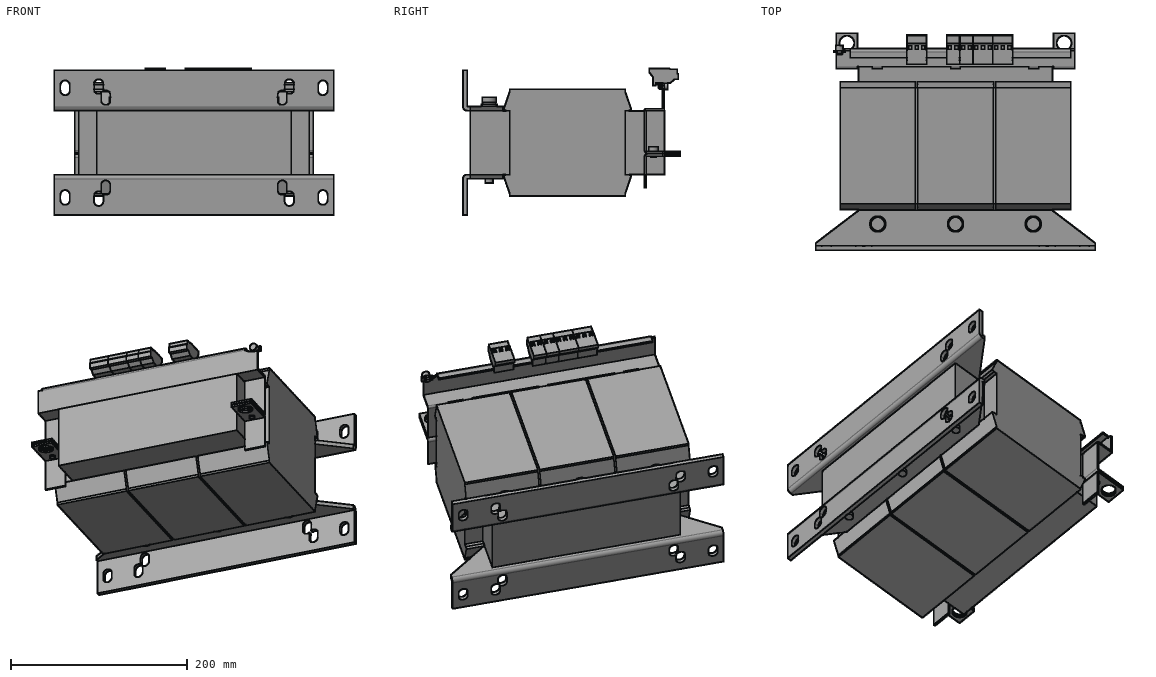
import cadquery as cq


CORE_HALF_X = 109.5
CORE_HALF_Z = 36.0
CORE_FRONT = 8.2
CORE_BACK = 228.0
YOKE_DEPTH = 44.5
CORE_MID_Y = (CORE_FRONT + CORE_BACK) / 2

COIL_PITCH = 88.5
COIL_GAP = 2.2
COILS_HALF_X = 130.5
COIL_HALF_Z = 60.5
COIL_HALF_Y = CORE_MID_Y - CORE_FRONT - YOKE_DEPTH
COIL_LEDGE_Z = 57.5
COIL_OVERHANG = 7.0
COIL_OVERHANG_Z = 37.3
COIL_RETURN = 3.0

FOOT_LENGTH = 316.0
FOOT_HALF_Z = 82.0
FOOT_THICKNESS = 5.0
FOOT_BEND_RADIUS = 4.7
FOOT_DEPTH = 45.5
FOOT_END_DEPTH = 8.2
FOOT_NARROW_HALF_X = 109.0
FOOT_TOP_Z = CORE_HALF_Z + FOOT_THICKNESS
SLOT_WIDTH = 10.5
SLOT_LENGTH = 16.5
FOOT_SLOTS = ((145.7, 62.0), (107.8, 63.2), (100.0, 51.0))

BOLT_PITCH = 88.0
BOLT_Y = 29.7
BOLT_WASHER_DIAMETER = 18.0
BOLT_SPRING_DIAMETER = 15.2
BOLT_WASHER_HEIGHT = 2.2
BOLT_HEAD_DIAMETER = 16.0
BOLT_HEAD_HEIGHT = 6.0
BOLT_END_DIAMETER = 9.0
BOLT_END_HEIGHT = 4.7

SHEET = 2.37
BEND_RADIUS = 3.5
EDGE_RADIUS = 2.2
BRACKET_HALF_X = 135.0
EAR_WIDTH = 24.3
EAR_MID_X = BRACKET_HALF_X - EAR_WIDTH / 2
EAR_FRONT = 205.0
TAB_BACK = 245.5
TAB_MID_Z = -12.3
TAB_GAP = 1.0
LOWER_EAR_BOTTOM = -51.2
BRACKET_BACK = 227.8
SHELF_TOP = CORE_HALF_Z + SHEET
RAIL_TOP = 68.0
LIP_FRONT = 217.7
LIP_LEFT = -119.0
LIP_RIGHT = COILS_HALF_X
CUTAWAY_Z = 61.0
CUTAWAY_RUN = 6.0
SHELF_TONGUE_WIDTH = 11.0
TAB_HOLE_DIAMETER = 16.5
TAB_HOLE_Y = 234.0
TAB_BOLT_Y = 215.5
TAB_BOLT_DIAMETER = 10.5
TAB_BOLT_HEAD = 4.7
TAB_BOLT_END_DIAMETER = 6.3
TAB_BOLT_END_HEIGHT = 1.5

SCREW_X = -131.0
SCREW_Z = 64.0
SCREW_HEAD_DIAMETER = 7.5
SCREW_HEAD_CHAMFER = 1.5
NUT_DIAMETER = 8.5
SCREW_FRONT = 221.0
SCREW_BACK = 231.5
LUG_WIDTH = 12.5
LUG_HEIGHT = 5.7
LUG_THICKNESS = 2.0

SINGLE_BLOCK_X = -55.0
SINGLE_BLOCK_WAYS = 3
ROW_X = -10.0
ROW_LENGTH = 75.0
ROW_WAYS = (2, 2, 3, 3)
WAY_PITCH = ROW_LENGTH / sum(ROW_WAYS)
BLOCK_SEAM = 0.15
TERMINAL_TOP = 84.0
TERMINAL_FRONT = 210.5
TERMINAL_BACK = 243.5
TERMINAL_STEP = 1.3
TERMINAL_STEP_Z = 78.0
LEDGE_Y = 233.5
LEDGE_DROP = 1.0
LEDGE_SLANT = 0.5
BACK_BOTTOM = 71.5
BACK_UNDERCUT_Y = 239.2
SEAT_BACK = 234.5
LIP_BITE = 0.5
SEAT_Z = RAIL_TOP - LIP_BITE
HOOK_FRONT = 215.0
HOOK_BOTTOM = 64.0
HOOK_TOP = 74.0
FRONT_BOTTOM = 79.5
POCKET_WIDTH = 3.5
POCKET_LENGTH = 3.8
POCKET_DEPTH = 1.5
POCKET_Y = 229.0


def box(x, y, z):
    """Box spanning the given (low, high) pairs."""
    return cq.Workplane("XY").box(
        x[1] - x[0], y[1] - y[0], z[1] - z[0], centered=False
    ).translate((x[0], y[0], z[0]))


def post(x, y, z, diameter, height):
    """Upright cylinder standing on the height z."""
    return cq.Workplane("XY").circle(diameter / 2).extrude(height).translate((x, y, z))


def profile(points, x):
    """Closed (Y, Z) outline extruded between a (low, high) pair of X positions."""
    return cq.Workplane("YZ").polyline(points).close().extrude(x[1] - x[0]).translate((x[0], 0, 0))


def round_bend(body, x, y, z, radius):
    """Round the one edge along X that passes nearest to a point."""
    return body.edges("|X").edges(cq.NearestToPointSelector((x, y, z))).fillet(radius)


def mirrored(body, plane):
    return body.union(body.mirror(plane))


def make_core():
    across = (-CORE_HALF_X, CORE_HALF_X)
    height = (-CORE_HALF_Z, CORE_HALF_Z)
    front_yoke = box(across, (CORE_FRONT, CORE_FRONT + YOKE_DEPTH), height)
    back_yoke = box(across, (CORE_BACK - YOKE_DEPTH, CORE_BACK), height)
    return front_yoke.union(back_yoke)


def make_coil(x):
    """Coil whose winding bulges over the yokes above and below the core."""
    bulge = COIL_HALF_Y + COIL_OVERHANG
    quarter = [
        (COIL_HALF_Y, COIL_HALF_Z),
        (COIL_HALF_Y, COIL_LEDGE_Z),
        (bulge, COIL_OVERHANG_Z),
        (bulge - COIL_RETURN, CORE_HALF_Z),
        (COIL_HALF_Y, CORE_HALF_Z),
    ]
    right_side = quarter + [(y, -z) for y, z in reversed(quarter)]
    left_side = [(-y, -z) for y, z in right_side]
    return profile(right_side + left_side, x).translate((0, CORE_MID_Y, 0))


def make_coils():
    inner = (COIL_PITCH - COIL_GAP) / 2
    outer = inner + COIL_GAP
    coils = make_coil((-inner, inner))
    return coils.union(make_coil((outer, COILS_HALF_X))).union(make_coil((-COILS_HALF_X, -outer)))


def make_upper_foot():
    """Angle with tapered ends; its upright flange carries the mounting slots."""
    half = FOOT_LENGTH / 2
    outline = [
        (0, CORE_HALF_Z),
        (FOOT_DEPTH, CORE_HALF_Z),
        (FOOT_DEPTH, FOOT_TOP_Z),
        (FOOT_THICKNESS, FOOT_TOP_Z),
        (FOOT_THICKNESS, FOOT_HALF_Z),
        (0, FOOT_HALF_Z),
    ]
    foot = profile(outline, (-half, half))
    foot = round_bend(foot, 0, 0, CORE_HALF_Z, FOOT_BEND_RADIUS)
    corner = (
        cq.Workplane("XY")
        .polyline([(half, FOOT_END_DEPTH), (half, FOOT_DEPTH), (FOOT_NARROW_HALF_X, FOOT_DEPTH)])
        .close()
        .extrude(FOOT_HALF_Z)
    )
    foot = foot.cut(mirrored(corner, "YZ"))
    for x, z in FOOT_SLOTS:
        slots = (
            cq.Workplane("XZ")
            .pushPoints([(x, z), (-x, z)])
            .slot2D(SLOT_LENGTH, SLOT_WIDTH, 90)
            .extrude(-FOOT_THICKNESS)
        )
        foot = foot.cut(slots)
    return foot


def make_core_bolt(x):
    spring_base = FOOT_TOP_Z + BOLT_WASHER_HEIGHT
    head_base = spring_base + BOLT_WASHER_HEIGHT
    washer = post(x, BOLT_Y, FOOT_TOP_Z, BOLT_WASHER_DIAMETER, BOLT_WASHER_HEIGHT)
    spring = post(x, BOLT_Y, spring_base, BOLT_SPRING_DIAMETER, BOLT_WASHER_HEIGHT)
    head = post(x, BOLT_Y, head_base, BOLT_HEAD_DIAMETER, BOLT_HEAD_HEIGHT)
    end = post(x, BOLT_Y, -FOOT_TOP_Z, BOLT_END_DIAMETER, -BOLT_END_HEIGHT)
    return washer.union(spring).union(head).union(end)


def make_ear(z_far, z_bend, side):
    """Right-hand ear from z_far to its bend, with a tab running back from the bend.

    side is +1 when the ear rises above the tab and -1 when it hangs below.
    """
    z_inner = z_bend + side * SHEET
    outline = [
        (EAR_FRONT, z_bend),
        (TAB_BACK, z_bend),
        (TAB_BACK, z_inner),
        (EAR_FRONT + SHEET, z_inner),
        (EAR_FRONT + SHEET, z_far),
        (EAR_FRONT, z_far),
    ]
    ear = profile(outline, (BRACKET_HALF_X - EAR_WIDTH, BRACKET_HALF_X))
    return round_bend(ear, EAR_MID_X, EAR_FRONT, z_bend, BEND_RADIUS)


def make_ears():
    """Both pairs of ears, bolted together through their tabs."""
    upper_tab_bottom = TAB_MID_Z + TAB_GAP / 2
    lower_tab_top = TAB_MID_Z - TAB_GAP / 2
    upper_tab_top = upper_tab_bottom + SHEET
    shank_bottom = lower_tab_top - SHEET - TAB_BOLT_END_HEIGHT
    shank_length = upper_tab_top - shank_bottom
    upper = make_ear(SHELF_TOP, upper_tab_bottom, 1)
    upper = round_bend(upper, EAR_MID_X, EAR_FRONT, SHELF_TOP, EDGE_RADIUS)
    ears = upper.union(make_ear(LOWER_EAR_BOTTOM, lower_tab_top, -1))
    hole = post(EAR_MID_X, TAB_HOLE_Y, shank_bottom, TAB_HOLE_DIAMETER, shank_length)
    head = post(EAR_MID_X, TAB_BOLT_Y, upper_tab_top, TAB_BOLT_DIAMETER, TAB_BOLT_HEAD)
    shank = post(EAR_MID_X, TAB_BOLT_Y, shank_bottom, TAB_BOLT_END_DIAMETER, shank_length)
    return mirrored(ears.cut(hole).union(head).union(shank), "YZ")


def make_shelf():
    """Flat part of the upper bracket on the core, with three tongues at its front."""
    bend_end = EAR_FRONT + SHEET
    height = (CORE_HALF_Z, SHELF_TOP)
    shelf = box((-BRACKET_HALF_X, BRACKET_HALF_X), (bend_end, BRACKET_BACK), height)
    for x in (-COIL_PITCH, 0, COIL_PITCH):
        across = (x - SHELF_TONGUE_WIDTH / 2, x + SHELF_TONGUE_WIDTH / 2)
        tongue = box(across, (EAR_FRONT, bend_end), height)
        shelf = shelf.union(round_bend(tongue, x, EAR_FRONT, SHELF_TOP, EDGE_RADIUS))
    return shelf


def make_rail():
    """Upright wall with a forward lip, cut away at its left end."""
    wall_front = BRACKET_BACK - SHEET
    outline = [
        (wall_front, CORE_HALF_Z),
        (BRACKET_BACK, CORE_HALF_Z),
        (BRACKET_BACK, RAIL_TOP),
        (LIP_FRONT, RAIL_TOP),
        (LIP_FRONT, RAIL_TOP - SHEET),
        (wall_front, RAIL_TOP - SHEET),
    ]
    lipped = profile(outline, (LIP_LEFT, LIP_RIGHT))
    lipped = round_bend(lipped, 0, BRACKET_BACK, RAIL_TOP, BEND_RADIUS)
    left_end = (
        cq.Workplane("XZ", origin=(0, BRACKET_BACK, 0))
        .polyline([
            (-BRACKET_HALF_X, CORE_HALF_Z),
            (LIP_LEFT, CORE_HALF_Z),
            (LIP_LEFT, RAIL_TOP - BEND_RADIUS),
            (LIP_LEFT - CUTAWAY_RUN, CUTAWAY_Z),
            (-BRACKET_HALF_X, CUTAWAY_Z),
        ])
        .close()
        .extrude(SHEET)
    )
    right_end = box(
        (LIP_RIGHT, BRACKET_HALF_X),
        (wall_front, BRACKET_BACK),
        (CORE_HALF_Z, RAIL_TOP - BEND_RADIUS),
    )
    return lipped.union(left_end).union(right_end)


def make_earth_screw():
    """Screw through the rail wall, clamping a flat lug against its front face."""
    wall_front = BRACKET_BACK - SHEET
    head = (
        cq.Workplane("XZ", origin=(SCREW_X, wall_front, SCREW_Z))
        .circle(SCREW_HEAD_DIAMETER / 2)
        .extrude(wall_front - SCREW_FRONT)
        .faces("<Y")
        .chamfer(SCREW_HEAD_CHAMFER)
    )
    nut = (
        cq.Workplane("XZ", origin=(SCREW_X, SCREW_BACK, SCREW_Z))
        .circle(NUT_DIAMETER / 2)
        .extrude(SCREW_BACK - wall_front)
    )
    lug = box(
        (SCREW_X - LUG_WIDTH / 2, SCREW_X + LUG_WIDTH / 2),
        (wall_front - LUG_THICKNESS, wall_front),
        (SCREW_Z - LUG_HEIGHT / 2, SCREW_Z + LUG_HEIGHT / 2),
    )
    return head.union(nut).union(lug)


def make_terminal(x, ways):
    """Terminal block with one shallow wire pocket per way, hooked over the lip."""
    outline = [
        (TERMINAL_FRONT, TERMINAL_TOP),
        (LEDGE_Y, TERMINAL_TOP),
        (LEDGE_Y + LEDGE_SLANT, TERMINAL_TOP - LEDGE_DROP),
        (TERMINAL_BACK - TERMINAL_STEP, TERMINAL_TOP - LEDGE_DROP),
        (TERMINAL_BACK - TERMINAL_STEP, TERMINAL_STEP_Z),
        (TERMINAL_BACK, TERMINAL_STEP_Z),
        (TERMINAL_BACK, BACK_BOTTOM),
        (BACK_UNDERCUT_Y, BACK_BOTTOM),
        (SEAT_BACK, SEAT_Z),
        (LIP_FRONT, SEAT_Z),
        (LIP_FRONT, HOOK_BOTTOM),
        (HOOK_FRONT, HOOK_BOTTOM),
        (HOOK_FRONT, HOOK_TOP),
        (TERMINAL_FRONT, FRONT_BOTTOM),
    ]
    block = profile(outline, (x, x + ways * WAY_PITCH - BLOCK_SEAM))
    for way in range(ways):
        pocket_x = x + (way + 0.5) * WAY_PITCH
        pocket = box(
            (pocket_x - POCKET_WIDTH / 2, pocket_x + POCKET_WIDTH / 2),
            (POCKET_Y - POCKET_LENGTH / 2, POCKET_Y + POCKET_LENGTH / 2),
            (TERMINAL_TOP - POCKET_DEPTH, TERMINAL_TOP),
        )
        block = block.cut(pocket)
    return block


def make_terminals():
    terminals = make_terminal(SINGLE_BLOCK_X, SINGLE_BLOCK_WAYS)
    x = ROW_X
    for ways in ROW_WAYS:
        terminals = terminals.union(make_terminal(x, ways))
        x += ways * WAY_PITCH
    return terminals


result = make_core().union(make_coils())
result = result.union(mirrored(make_upper_foot(), "XY"))
for bolt_x in (-BOLT_PITCH, 0, BOLT_PITCH):
    result = result.union(make_core_bolt(bolt_x))
result = result.union(make_shelf()).union(make_ears()).union(make_rail())
result = result.union(make_earth_screw()).union(make_terminals())